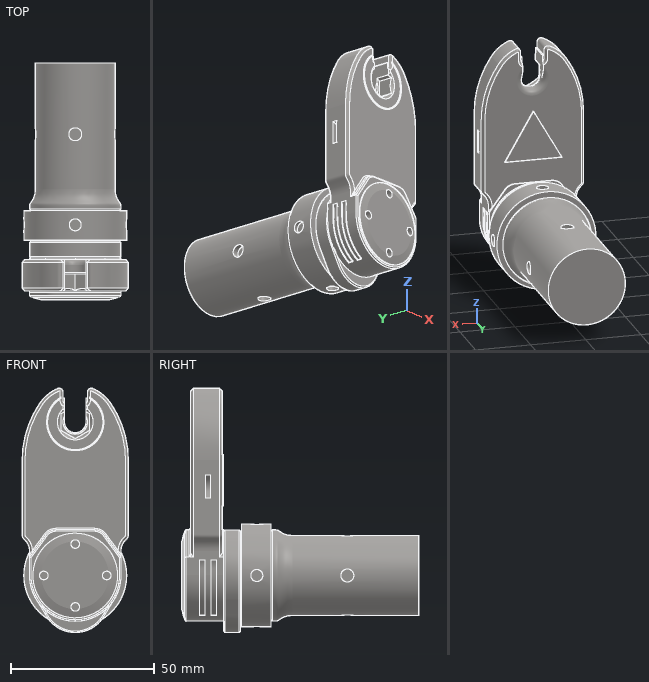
import cadquery as cq
import math


barrel_front_y = 20.82
barrel_end_y = 82.9
collar_end_y = 31.2
collar_radius = 18.0
shoulder_radius = 16.0
shoulder_bevel = 0.5
shoulder_end_y = 32.8
flare_inflection_y = 34.0
flare_inflection_radius = 15.6
flare_end_y = 38.7
tube_radius = 14.0
collar_hole_y = 26.25
collar_hole_diameter = 4.2
collar_hole_depth = 1.7
tube_hole_y = 57.9
tube_hole_diameter = 4.5
tube_hole_depth = 2.6

hub_radius = 16.0
hub_front_y = 1.0
hub_back_y = 14.6
small_bevel = 0.5
boss_side_top_z = 6.4
boss_corner_x = 9.0
boss_corner_radius = 4.5
cap_face_radius = 11.8
cap_base_radius = 14.8
cap_rim_y = 0.8
cap_hole_diameter = 3.0
cap_hole_circle_radius = 10.99
cap_hole_depth = 3.0
cam_back_y = 20.6
cam_bottom_z = -19.97
cam_flank_angle = 32.1
cam_lobe_start = (10.35, -13.7)
grip_slot_width = 1.9
grip_slot_centers_y = (7.2, 11.2)
grip_slot_depth = 0.3
grip_slot_runout_z = 2.05
grip_slot_top_z = 5.5
grip_slot_bottom_z = -14.0

plate_front_y = 3.1
plate_back_y = 14.2
plate_half_width = 18.6
plate_chamfer = 1.0
notch_bottom_z = 8.5
notch_curve_share = 0.74
notch_top_z = 14.2
side_top_z = 40.2
shoulder_point = (12.36, 60.3)
tip_radius = 1.4
tip_corner_z = 66.0
mouth_half_width = 4.23
mouth_corner_radius = 1.24
mouth_corner_z = 61.05
lip_top_z = 62.04
key_slot_center_y = 9.15
key_slot_width = 1.7
key_slot_center_z = 31.0
key_slot_radius = 4.0
pad_thickness = 0.4
pad_bottom_z = 24.3
pad_height = 17.95

socket_z = 53.6
slot_half_width = 3.72
slot_bevel = 0.5
countersink_radius = 6.2
countersink_depth = 1.9
hex_across_flats = 10.05
hex_floor_y = 9.0
floor_bevel = 0.56
back_round_radius = 2.1
ring_groove_radius = 9.8
ring_groove_width = 0.3
ring_groove_depth = 0.25


def front_sketch(y):
    """Workplane facing -Y at depth y, with local axes along X and Z."""
    return cq.Workplane("XZ", origin=(0, y, 0))


def disc(radius, front_y, back_y, x=0, z=0):
    return front_sketch(back_y).center(x, z).circle(radius).extrude(back_y - front_y)


def turned(profile):
    """Revolve a (radius, y) profile about the Y axis."""
    return profile.close().revolve(360, (0, 0, 0), (0, 1, 0))


def both_sides(body):
    """The body together with its mirror image across X = 0."""
    return body.union(body.mirror("YZ"))


def make_barrel():
    profile = (
        cq.Workplane("XY")
        .moveTo(0, barrel_front_y)
        .lineTo(collar_radius, barrel_front_y)
        .lineTo(collar_radius, collar_end_y)
        .lineTo(shoulder_radius - shoulder_bevel, collar_end_y)
        .lineTo(shoulder_radius, collar_end_y + shoulder_bevel)
        .lineTo(shoulder_radius, shoulder_end_y)
        .tangentArcPoint((flare_inflection_radius, flare_inflection_y), relative=False)
        .tangentArcPoint((tube_radius, flare_end_y), relative=False)
        .lineTo(tube_radius, barrel_end_y)
        .lineTo(0, barrel_end_y)
    )
    barrel = turned(profile)
    hole_rows = (
        (collar_hole_y, collar_hole_diameter, collar_radius - collar_hole_depth),
        (tube_hole_y, tube_hole_diameter, tube_radius - tube_hole_depth),
    )
    for y, diameter, floor_radius in hole_rows:
        drill = (
            cq.Workplane("XY", origin=(0, y, floor_radius))
            .circle(diameter / 2)
            .extrude(collar_radius)
        )
        for quarter in range(4):
            barrel = barrel.cut(drill.rotate((0, 0, 0), (0, 1, 0), 90 * quarter))
    return barrel


def make_plate():
    """Chamfered lever plate with its open mouth at the top."""
    notch_join = (
        hub_radius + notch_curve_share * (plate_half_width - hub_radius),
        notch_bottom_z + notch_curve_share * (notch_top_z - notch_bottom_z),
    )
    half = (
        front_sketch(plate_back_y)
        .lineTo(hub_radius, 0)
        .lineTo(hub_radius, notch_bottom_z)
        .tangentArcPoint(notch_join, relative=False)
        .tangentArcPoint((plate_half_width, notch_top_z), relative=False)
        .lineTo(plate_half_width, side_top_z)
        .tangentArcPoint(shoulder_point, relative=False)
        .tangentArcPoint((mouth_half_width, tip_corner_z), relative=False)
        .lineTo(mouth_half_width, mouth_corner_z)
        .tangentArcPoint((-mouth_corner_radius, -mouth_corner_radius))
        .lineTo(0, mouth_corner_z - mouth_corner_radius)
        .close()
        .extrude(plate_back_y - plate_front_y)
        .edges("|Y")
        .edges(">Z")
        .fillet(tip_radius)
    )
    plate = both_sides(half).clean()
    for face in ("<Y", ">Y"):
        plate = plate.faces(face).chamfer(plate_chamfer)
    lip_front_y = plate_front_y + plate_chamfer
    lip_back_y = plate_back_y - plate_chamfer
    lip = (
        front_sketch(lip_back_y)
        .rect(2 * mouth_half_width + plate_chamfer, 2 * (lip_top_z - socket_z))
        .extrude(lip_back_y - lip_front_y)
        .translate((0, 0, socket_z))
    )
    return plate.union(lip)


def cut_socket(plate):
    """Open slot, hex pocket, countersink, rounded back and ring groove around them."""
    slot_height = tip_corner_z - socket_z
    depth = plate_back_y - plate_front_y
    slot = (
        front_sketch(plate_back_y)
        .center(0, socket_z + slot_height / 2)
        .rect(2 * slot_half_width, slot_height)
        .extrude(depth)
    )
    bevel_half_width = slot_half_width + slot_bevel
    slot_front_bevel = (
        cq.Workplane("XY", origin=(0, plate_front_y, socket_z))
        .polyline([
            (-bevel_half_width, 0),
            (bevel_half_width, 0),
            (slot_half_width, slot_bevel),
            (-slot_half_width, slot_bevel),
        ])
        .close()
        .extrude(mouth_corner_z - socket_z)
    )
    hexagon = (
        front_sketch(hex_floor_y)
        .center(0, socket_z)
        .polygon(6, hex_across_flats / math.cos(math.pi / 6))
        .extrude(hex_floor_y - plate_front_y)
        .rotate((0, 0, socket_z), (0, 1, socket_z), 30)
    )
    round_start_y = plate_back_y - back_round_radius
    bore = turned(
        cq.Workplane("XY")
        .moveTo(0, plate_front_y)
        .lineTo(countersink_radius, plate_front_y)
        .lineTo(slot_half_width, plate_front_y + countersink_depth)
        .lineTo(slot_half_width + floor_bevel, hex_floor_y)
        .lineTo(slot_half_width, hex_floor_y + floor_bevel)
        .lineTo(slot_half_width, round_start_y)
        .tangentArcPoint((back_round_radius, back_round_radius))
        .lineTo(0, plate_back_y)
    ).translate((0, 0, socket_z))
    ring_groove = (
        front_sketch(plate_front_y + ring_groove_depth)
        .center(0, socket_z)
        .circle(ring_groove_radius + ring_groove_width / 2)
        .circle(ring_groove_radius - ring_groove_width / 2)
        .extrude(ring_groove_depth)
    )
    for cutter in (slot, slot_front_bevel, hexagon, bore, ring_groove):
        plate = plate.cut(cutter)
    return plate


def cut_key_slots(plate):
    """Half-round key slots in the two long sides."""
    front_y = key_slot_center_y - key_slot_width / 2
    back_y = key_slot_center_y + key_slot_width / 2
    slot = disc(key_slot_radius, front_y, back_y, plate_half_width, key_slot_center_z)
    return plate.cut(both_sides(slot))


def make_back_pad():
    """Raised equilateral triangle on the back of the plate."""
    half_base = pad_height / math.sqrt(3)
    return (
        front_sketch(plate_back_y + pad_thickness)
        .polyline([
            (-half_base, pad_bottom_z),
            (half_base, pad_bottom_z),
            (0, pad_bottom_z + pad_height),
        ])
        .close()
        .extrude(pad_thickness)
    )


def boss_prism(front_y, back_y):
    """Hub outline: round below, with straight sides, slanted shoulders and a flat top."""
    return (
        front_sketch(back_y)
        .moveTo(-hub_radius, 0)
        .threePointArc((0, -hub_radius), (hub_radius, 0))
        .lineTo(hub_radius, boss_side_top_z)
        .lineTo(boss_corner_x, hub_radius)
        .lineTo(-boss_corner_x, hub_radius)
        .lineTo(-hub_radius, boss_side_top_z)
        .close()
        .extrude(back_y - front_y)
        .edges("|Y")
        .edges(">Z")
        .fillet(boss_corner_radius)
    )


def make_boss_flare():
    """Sloped foot where the upper edges of the boss meet the plate."""
    foot = (
        boss_prism(hub_front_y, plate_front_y - small_bevel)
        .faces(">Y")
        .wires()
        .toPending()
        .workplane()
        .extrude(small_bevel, taper=-45, combine=False)
    )
    upper_box = cq.Workplane("XY", origin=(0, 0, boss_side_top_z)).box(
        2 * hub_radius, 2 * hub_back_y, 2 * hub_radius, centered=(True, True, False)
    )
    return foot.intersect(upper_box)


def make_hub():
    hub = boss_prism(hub_front_y, hub_back_y).faces("<Y").chamfer(small_bevel)
    return hub.union(make_boss_flare())


def make_cap():
    """Shallow conical front cap."""
    return turned(
        cq.Workplane("XY")
        .lineTo(cap_face_radius, 0)
        .lineTo(cap_base_radius, cap_rim_y)
        .lineTo(cap_base_radius, hub_front_y)
        .lineTo(0, hub_front_y)
    )


def make_cam():
    """Bevelled disc with a rounded lobe at the bottom, blended by hollow flanks."""
    angle = math.radians(cam_flank_angle)
    flank_start = (hub_radius * math.cos(angle), -hub_radius * math.sin(angle))
    lobe_x, lobe_z = cam_lobe_start
    right_flank = (
        front_sketch(cam_back_y)
        .moveTo(-flank_start[0], flank_start[1])
        .threePointArc((0, hub_radius), flank_start)
        .tangentArcPoint(cam_lobe_start, relative=False)
        .threePointArc((0, cam_bottom_z), (-lobe_x, lobe_z))
        .lineTo(-flank_start[0], flank_start[1])
        .close()
        .extrude(cam_back_y - hub_back_y)
    )
    return both_sides(right_flank).faces("<Y or >Y").chamfer(small_bevel)


def cut_grip_slots(lever):
    """Shallow curved slots around both sides of the hub."""
    floor_radius = hub_radius - grip_slot_depth
    outer_radius = hub_radius + grip_slot_depth

    def on_circle(radius, z):
        return (math.sqrt(radius**2 - z**2), z)

    end_scale = outer_radius / hub_radius
    end_outer = tuple(end_scale * c for c in on_circle(hub_radius, grip_slot_bottom_z))
    floor_bottom_z = grip_slot_bottom_z * floor_radius / hub_radius
    for center_y in grip_slot_centers_y:
        slot = (
            front_sketch(center_y + grip_slot_width / 2)
            .moveTo(*on_circle(floor_radius, floor_bottom_z))
            .radiusArc(on_circle(floor_radius, grip_slot_runout_z), -floor_radius)
            .tangentArcPoint((hub_radius, grip_slot_top_z), relative=False)
            .lineTo(outer_radius, grip_slot_top_z)
            .lineTo(outer_radius, 0)
            .radiusArc(end_outer, outer_radius)
            .close()
            .extrude(grip_slot_width)
        )
        lever = lever.cut(both_sides(slot))
    return lever


def cut_cap_holes(lever):
    for quarter in range(4):
        angle = math.radians(90 * quarter)
        x = cap_hole_circle_radius * math.cos(angle)
        z = cap_hole_circle_radius * math.sin(angle)
        lever = lever.cut(disc(cap_hole_diameter / 2, 0, cap_hole_depth, x, z))
    return lever


def make_lever():
    lever = cut_key_slots(cut_socket(make_plate()))
    for feature in (make_back_pad(), make_hub(), make_cap(), make_cam()):
        lever = lever.union(feature)
    return cut_cap_holes(cut_grip_slots(lever))


barrel = make_barrel()
lever = make_lever()

result = cq.Compound.makeCompound([barrel.val(), *lever.vals()])